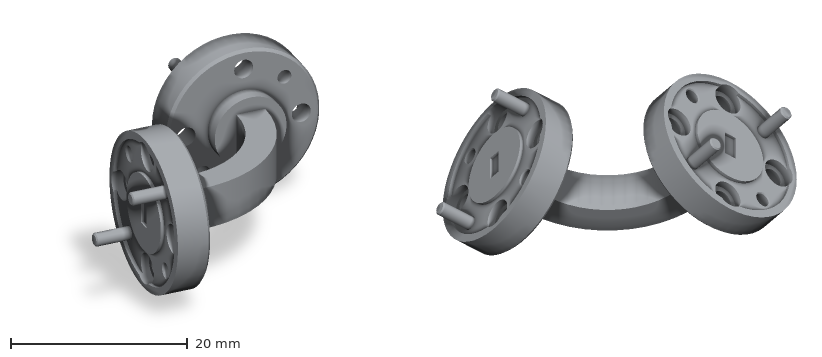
import cadquery as cq

OVERALL_LENGTH = 32.45

TUBE_STRAIGHT = 0.2
TUBE_WIDTH = 3.55
TUBE_HEIGHT = 5.22

FLANGE_DIAMETER = 19.05
FLANGE_THICKNESS = 4.12
FLANGE_CHAMFER = 0.32
HUB_DIAMETER = 8.9
HUB_LENGTH = 1.95

RECESS_OUTER_DIAMETER = 17.13
RECESS_INNER_DIAMETER = 9.48
RECESS_DEPTH = 0.45
OPENING_WIDTH = 1.55
OPENING_HEIGHT = 3.08
OPENING_DEPTH = 0.4

BOLT_CIRCLE_DIAMETER = 14.28
SCREW_HOLE_COUNT = 4
SCREW_HOLE_ANGLE = 0
PINS_PER_FLANGE = 2
PIN_ANGLE = 45
ALIGNMENT_HOLE_ANGLE = PIN_ANGLE + 90
SCREW_HOLE_DIAMETER = 2.35
COUNTERBORE_DIAMETER = 3.6
COUNTERBORE_DEPTH = 1.45
ALIGNMENT_HOLE_DIAMETER = 1.72
ALIGNMENT_HOLE_CHAMFER = 0.13

PIN_DIAMETER = 1.6
PIN_PROTRUSION = 3.9
PIN_CHAMFER = 0.15
PIN_HOLE_CHAMFER = 0.05

FACE_DISTANCE = TUBE_STRAIGHT + HUB_LENGTH + FLANGE_THICKNESS
BEND_RADIUS = OVERALL_LENGTH - PIN_PROTRUSION - FACE_DISTANCE - FLANGE_DIAMETER / 2

END_PLANES = [
    cq.Plane(origin=(-FACE_DISTANCE, BEND_RADIUS, 0), xDir=(0, -1, 0), normal=(-1, 0, 0)),
    cq.Plane(origin=(BEND_RADIUS, -FACE_DISTANCE, 0), xDir=(1, 0, 0), normal=(0, -1, 0)),
]


def on_bolt_circle(workplane, start_angle, count):
    """Evenly spaced points on the bolt circle."""
    return workplane.polarArray(BOLT_CIRCLE_DIAMETER / 2, start_angle, 360, count)


def disc(plane, diameter, start, length):
    """Cylinder on the plane's normal that runs from start towards the tube."""
    return cq.Workplane(plane).workplane(offset=-start).circle(diameter / 2).extrude(-length)


def countersunk_holes(plane, start_angle, diameter, chamfer):
    """Two opposite through holes, chamfered where they meet the recess floor."""
    floor = cq.Workplane(plane).workplane(offset=-RECESS_DEPTH)
    depth = FLANGE_THICKNESS - RECESS_DEPTH
    holes = on_bolt_circle(floor, start_angle, PINS_PER_FLANGE).circle(diameter / 2).extrude(-depth)
    countersinks = (
        on_bolt_circle(floor, start_angle, PINS_PER_FLANGE)
        .circle(diameter / 2 + chamfer)
        .extrude(-chamfer, taper=45)
    )
    return holes.union(countersinks)


def make_tube():
    tube = (
        cq.Workplane("XZ")
        .center(BEND_RADIUS, 0)
        .rect(TUBE_WIDTH, TUBE_HEIGHT)
        .revolve(90, (-BEND_RADIUS, 0), (-BEND_RADIUS, 1))
    )
    for plane in END_PLANES:
        hub_end = cq.Workplane(plane).workplane(offset=-FLANGE_THICKNESS - HUB_LENGTH)
        tube = tube.union(hub_end.rect(TUBE_WIDTH, TUBE_HEIGHT).extrude(-TUBE_STRAIGHT))
    return tube


def make_flange(plane):
    face = cq.Workplane(plane)

    flange = disc(plane, FLANGE_DIAMETER, 0, FLANGE_THICKNESS)
    back_face = cq.selectors.DirectionMinMaxSelector(plane.zDir, directionMax=False)
    flange = flange.faces(back_face).chamfer(FLANGE_CHAMFER)
    flange = flange.union(disc(plane, HUB_DIAMETER, FLANGE_THICKNESS, HUB_LENGTH))

    recess = disc(plane, RECESS_OUTER_DIAMETER, 0, RECESS_DEPTH)
    recess = recess.cut(disc(plane, RECESS_INNER_DIAMETER, 0, RECESS_DEPTH))
    opening = face.rect(OPENING_WIDTH, OPENING_HEIGHT).extrude(-OPENING_DEPTH)

    screw_points = on_bolt_circle(face, SCREW_HOLE_ANGLE, SCREW_HOLE_COUNT)
    screw_holes = screw_points.circle(SCREW_HOLE_DIAMETER / 2).extrude(-FLANGE_THICKNESS)
    counterbores = screw_points.circle(COUNTERBORE_DIAMETER / 2).extrude(-COUNTERBORE_DEPTH)

    alignment_holes = countersunk_holes(
        plane, ALIGNMENT_HOLE_ANGLE, ALIGNMENT_HOLE_DIAMETER, ALIGNMENT_HOLE_CHAMFER
    )
    pin_holes = countersunk_holes(plane, PIN_ANGLE, PIN_DIAMETER, PIN_HOLE_CHAMFER)
    for cutter in (recess, opening, screw_holes, counterbores, alignment_holes, pin_holes):
        flange = flange.cut(cutter)
    return flange


def make_pins(plane):
    tip_faces = cq.selectors.DirectionMinMaxSelector(plane.zDir)
    back = cq.Workplane(plane).workplane(offset=-FLANGE_THICKNESS)
    return (
        on_bolt_circle(back, PIN_ANGLE, PINS_PER_FLANGE)
        .circle(PIN_DIAMETER / 2)
        .extrude(FLANGE_THICKNESS + PIN_PROTRUSION)
        .faces(tip_faces)
        .chamfer(PIN_CHAMFER)
    )


body = make_tube()
pins = []
for end_plane in END_PLANES:
    body = body.union(make_flange(end_plane))
    pins.extend(make_pins(end_plane).solids().vals())

result = cq.Compound.makeCompound([body.val(), *pins])